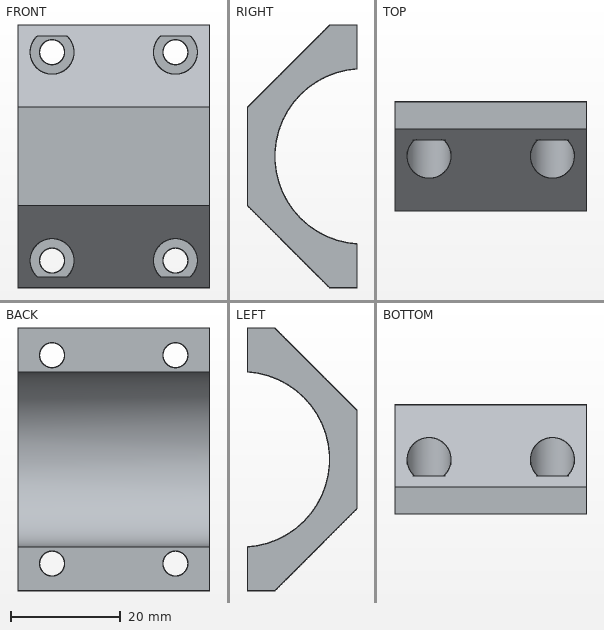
import cadquery as cq
import math

length = 35.0
depth = 20.0
height = 48.0

flange_thickness = 5.0
shoulder_run = depth - flange_thickness

saddle_radius = 16.0
saddle_axis_offset = 1.0

hole_diameter = 4.5
counterbore_diameter = 8.0
hole_spacing_x = 22.5
hole_spacing_z = 38.0
seat_thickness = 7.0

half_height = height / 2
front_y = -depth / 2
rear_y = depth / 2


def make_body():
    """Extrude the clamp profile along X, including the saddle arc."""
    half_front = half_height - shoulder_run
    shoulder_y = rear_y - flange_thickness
    half_opening = math.sqrt(saddle_radius**2 - saddle_axis_offset**2)
    saddle_bottom_y = rear_y + saddle_axis_offset - saddle_radius
    return (
        cq.Workplane("YZ")
        .moveTo(rear_y, half_height)
        .lineTo(shoulder_y, half_height)
        .lineTo(front_y, half_front)
        .lineTo(front_y, -half_front)
        .lineTo(shoulder_y, -half_height)
        .lineTo(rear_y, -half_height)
        .lineTo(rear_y, -half_opening)
        .threePointArc((saddle_bottom_y, 0), (rear_y, half_opening))
        .close()
        .extrude(length / 2, both=True)
    )


def make_hole_cylinders(diameter, start_y):
    """Four cylinders at the screw positions, from start_y to the front face."""
    return (
        cq.Workplane("XZ", origin=(0, start_y, 0))
        .rarray(hole_spacing_x, hole_spacing_z, 2, 2)
        .circle(diameter / 2)
        .extrude(start_y - front_y)
    )


screw_holes = make_hole_cylinders(hole_diameter, rear_y)
counterbores = make_hole_cylinders(counterbore_diameter, rear_y - seat_thickness)

result = make_body().cut(screw_holes).cut(counterbores)